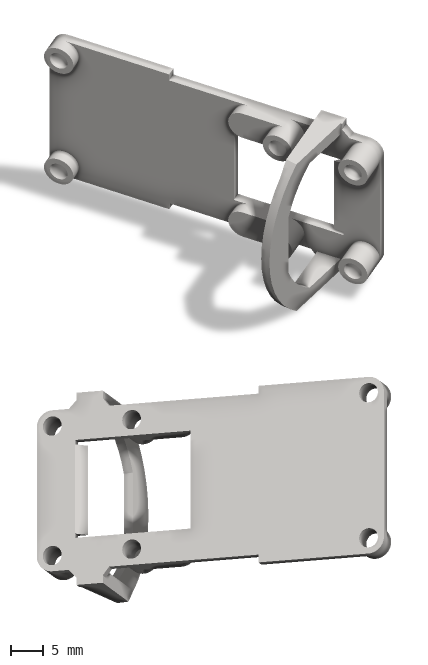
import cadquery as cq
import math

length = 55.9
plate_thickness = 1.5
wide_height = 27.85
wide_length = 20.25
narrow_height = 25.35

boss_diameter = 5.0
boss_radius = boss_diameter / 2
hole_diameter = 3.0
low_boss_depth = 3.5
tall_boss_depth = 5.85
wide_boss_z = wide_height / 2 - boss_radius
narrow_boss_z = narrow_height / 2 - boss_radius
left_boss_x = boss_radius
middle_boss_x = 40.6
right_boss_x = length - boss_radius

window_left = 31.2
window_right = 48.15
window_height = narrow_height - 2 * boss_diameter
slit_right = 49.75
slit_width = 0.65

guard_height = 30.3
guard_depth = 19.7
arm_inner_height = 25.7
arm_back_x = 45.25
arm_front_x = 49.5
band_thickness = 1.55
band_tilt = 10.4
shoulder_reach = 13.0
band_width = 3.9
inner_flat_reach = 15.1

ear_left = 44.25
ear_right = 50.75
ear_shoulder_height = 27.95

tilt = math.radians(band_tilt)
apex_reach = guard_depth / math.cos(tilt)
arch_rise = apex_reach - shoulder_reach
outer_radius = ((guard_height / 2) ** 2 + arch_rise ** 2) / (2 * arch_rise)
inner_radius = outer_radius - band_width
arch_center = apex_reach - outer_radius


def front_plane():
    """XZ workplane whose extrusions grow from the back face toward -Y."""
    return cq.Workplane("XZ")


def block(x_start, x_end, height, depth):
    """Box centred on Z, growing forward from the back face."""
    width = x_end - x_start
    return front_plane().center((x_start + x_end) / 2, 0).rect(width, height).extrude(depth)


def round_posts(x, z, diameter, depth):
    """Mirrored pair of cylinders above and below the centre line."""
    return front_plane().pushPoints([(x, z), (x, -z)]).circle(diameter / 2).extrude(depth)


def make_plate():
    wide = block(0, 2 * boss_diameter, wide_height, plate_thickness).edges("|Y and <X").fillet(boss_radius)
    wide = wide.union(block(boss_diameter, wide_length, wide_height, plate_thickness))
    narrow = block(boss_diameter, length, narrow_height, plate_thickness)
    narrow = narrow.edges("|Y and >X").fillet(boss_radius)
    return wide.union(narrow)


def make_ears():
    half_ear = [
        (ear_left, narrow_height / 2),
        (arm_back_x, ear_shoulder_height / 2),
        (arm_back_x, guard_height / 2),
        (arm_front_x, guard_height / 2),
        (arm_front_x, ear_shoulder_height / 2),
        (ear_right, narrow_height / 2),
    ]
    lower_half = [(x, -z) for x, z in reversed(half_ear)]
    return front_plane().polyline(half_ear + lower_half).close().extrude(plate_thickness)


def make_pads():
    pad_length = middle_boss_x + boss_radius - window_left
    pad_center = window_left + pad_length / 2
    centers = [(pad_center, narrow_boss_z), (pad_center, -narrow_boss_z)]
    return front_plane().pushPoints(centers).slot2D(pad_length, boss_diameter).extrude(low_boss_depth)


def make_window():
    slits = block(window_left, slit_right, window_height, plate_thickness)
    tongue_height = window_height - 2 * slit_width
    tongue = cq.Workplane("XY").polyline([
        (slit_right, 0),
        (slit_right, -plate_thickness),
        (window_right, -plate_thickness),
    ]).close().extrude(tongue_height / 2, both=True)
    return slits.cut(tongue)


def band_plane():
    """Front face of the tilted band: local x runs out along it, local y along Z."""
    return cq.Workplane(cq.Plane(
        origin=(arm_front_x, 0, 0),
        xDir=(-math.sin(tilt), -math.cos(tilt), 0),
        normal=(-math.cos(tilt), math.sin(tilt), 0),
    ))


def make_guard():
    band = band_plane().rect(2 * apex_reach, guard_height).extrude(band_thickness)

    inner_arc = band_plane().center(arch_center, 0).circle(inner_radius).extrude(band_thickness)
    inner_limit = band_plane().rect(2 * inner_flat_reach, arm_inner_height).extrude(band_thickness)
    band = band.cut(inner_arc.intersect(inner_limit))

    wedge_depth = (arm_front_x - arm_back_x) / math.tan(tilt)
    wedge = cq.Workplane("XY").polyline([
        (arm_back_x, 0),
        (arm_front_x, 0),
        (arm_back_x, -wedge_depth),
    ]).close().extrude(guard_height / 2, both=True)
    arm_gap = block(0, length, arm_inner_height, guard_depth + wedge_depth)
    guard = band.union(wedge.cut(arm_gap))

    arch = (
        band_plane().workplane(offset=-arm_front_x).center(arch_center, 0)
        .circle(outer_radius).extrude(2 * arm_front_x)
    )
    in_front_of_back_face = block(0, length, guard_height, guard_depth)
    return guard.intersect(arch).intersect(in_front_of_back_face)


bosses = [
    (left_boss_x, wide_boss_z, low_boss_depth),
    (middle_boss_x, narrow_boss_z, tall_boss_depth),
    (right_boss_x, narrow_boss_z, tall_boss_depth),
]

result = make_plate().union(make_ears()).union(make_pads()).cut(make_window())
for boss_x, boss_z, boss_depth in bosses:
    result = result.union(round_posts(boss_x, boss_z, boss_diameter, boss_depth))
result = result.union(make_guard())
for boss_x, boss_z, boss_depth in bosses:
    result = result.cut(round_posts(boss_x, boss_z, hole_diameter, boss_depth))